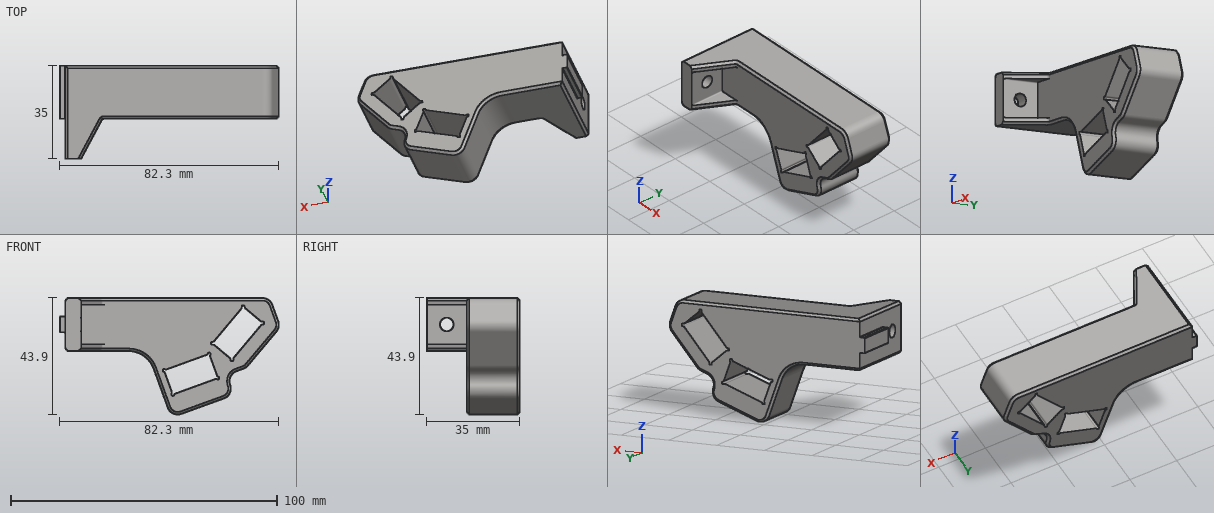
import cadquery as cq
import math

arm_width = 20.0
arm_height = 20.0
edge_chamfer = 1.0

plate_thickness = 6.0
plate_overhang = 15.0
gusset_length = 8.0
gusset_fillet = 1.0
rib_thickness = 2.5
pocket_fillet = 0.5
bolt_diameter = 5.0

tab_length = 2.0
tab_height = 6.0
tab_bevel = 0.2

window_length = 18.0
window_width = 9.6
relief_radius = 0.5
relief_blend = 1.0
lower_tilt = 20.0
upper_tilt = 50.0
lower_center = (47.26, -8.69)
upper_center = (64.77, 6.73)

lower_end_margin = 3.5
lower_side_margin = 8.0
upper_side_margin = 6.0

end_tilt = 110.0
end_distance = 79.08

corner_radius = 4.0
throat_radius = 10.0
shortest_line = 0.001


def direction(angle):
    """Unit (x, z) vector at an angle above +X."""
    return math.cos(math.radians(angle)), math.sin(math.radians(angle))


def shifted(point, angle, along, across):
    """Move a point along a direction and across it (to the left)."""
    dx, dz = direction(angle)
    return point[0] + along * dx - across * dz, point[1] + along * dz + across * dx


def crossing(line_a, line_b):
    """Meeting point of two lines, each given as (point, angle)."""
    (ax, az), angle_a = line_a
    (bx, bz), angle_b = line_b
    adx, adz = direction(angle_a)
    bdx, bdz = direction(angle_b)
    along = ((bx - ax) * bdz - (bz - az) * bdx) / (adx * bdz - adz * bdx)
    return ax + along * adx, az + along * adz


def front_plane(y):
    """XZ sketch plane at a given y, extruding toward +Y."""
    return cq.Workplane(cq.Plane(origin=(0, y, 0), xDir=(1, 0, 0), normal=(0, -1, 0)))


def arm_corners():
    """Sharp corners of the arm outline, each with its rounding radius."""
    half_length = window_length / 2
    half_width = window_width / 2
    block_reach = half_length + lower_end_margin

    top = ((0, arm_height), 0)
    underside = ((0, 0), 0)
    block_left = (shifted(lower_center, lower_tilt, -block_reach, 0), lower_tilt + 90)
    block_right = (shifted(lower_center, lower_tilt, block_reach, 0), lower_tilt + 90)
    block_bottom = (shifted(lower_center, lower_tilt, 0, -half_width - lower_side_margin), lower_tilt)
    ledge = (shifted(lower_center, lower_tilt, 0, -half_width), lower_tilt)
    upper_side = (shifted(upper_center, upper_tilt, 0, -half_width - upper_side_margin), upper_tilt)
    end_face = (shifted((0, 0), end_tilt, 0, -end_distance), end_tilt)

    return [
        ((0, 0), 0),
        (crossing(underside, block_left), throat_radius),
        (crossing(block_left, block_bottom), corner_radius),
        (crossing(block_bottom, block_right), corner_radius),
        (crossing(block_right, ledge), corner_radius),
        (crossing(ledge, upper_side), corner_radius),
        (crossing(upper_side, end_face), corner_radius),
        (crossing(end_face, top), corner_radius),
        ((0, arm_height), 0),
    ]


def toward(start, end, distance):
    """Point at a distance from start on the way to end."""
    share = distance / math.dist(start, end)
    return start[0] + share * (end[0] - start[0]), start[1] + share * (end[1] - start[1])


def corner_arc(before, corner, after, radius):
    """Start, middle and end of the arc that rounds a corner."""
    angle_in = math.atan2(corner[1] - before[1], corner[0] - before[0])
    angle_out = math.atan2(after[1] - corner[1], after[0] - corner[0])
    half_turn = abs(math.remainder(angle_out - angle_in, 2 * math.pi)) / 2
    setback = radius * math.tan(half_turn)
    start = toward(corner, before, setback)
    end = toward(corner, after, setback)
    chord_middle = ((start[0] + end[0]) / 2, (start[1] + end[1]) / 2)
    middle = toward(corner, chord_middle, radius / math.cos(half_turn) - radius)
    return start, middle, end


def make_arm():
    corners = arm_corners()
    points = [point for point, _ in corners]
    outline = front_plane(0).moveTo(*points[0])
    position = points[0]
    for index in range(1, len(corners) - 1):
        radius = corners[index][1]
        start, middle, end = corner_arc(points[index - 1], points[index], points[index + 1], radius)
        if math.dist(position, start) > shortest_line:
            outline = outline.lineTo(*start)
        outline = outline.threePointArc(middle, end)
        position = end
    return outline.lineTo(*points[-1]).close().extrude(-arm_width)


def make_plate():
    """Mounting plate with a sloped gusset back to the arm."""
    gusset_end = plate_thickness + gusset_length
    plan = [
        (0, arm_width / 2),
        (0, -plate_overhang),
        (plate_thickness, -plate_overhang),
        (gusset_end, 0),
        (gusset_end, arm_width / 2),
    ]
    return cq.Workplane("XY").polyline(plan).close().extrude(arm_height)


def make_body():
    body = make_arm().union(make_plate(), clean=True)
    gusset_root = (plate_thickness + gusset_length, 0, arm_height / 2)
    body = body.edges("|Z").edges(cq.selectors.NearestToPointSelector(gusset_root)).fillet(gusset_fillet)
    return body.edges("(not (|Y or |Z or <Y)) or (|Y and <X)").chamfer(edge_chamfer)


def gusset_pocket():
    """Pocket between the two gusset ribs, open toward -Y and +X."""
    pocket_length = 2 * gusset_length
    pocket_height = arm_height - 2 * rib_thickness
    pocket = cq.Workplane("XY").box(pocket_length, plate_overhang, pocket_height, centered=False)
    pocket = pocket.edges("|Y and <X").fillet(pocket_fillet)
    return pocket.translate((plate_thickness, -plate_overhang, rib_thickness))


def bolt_hole():
    return (
        cq.Workplane("YZ")
        .center(-plate_overhang / 2, arm_height / 2)
        .circle(bolt_diameter / 2)
        .extrude(plate_thickness)
    )


def make_tab():
    """Locating tab whose upper and lower sides flare at the plate and are chamfered at the tip."""
    half_height = tab_height / 2
    upper_side = [
        (0, half_height + tab_bevel),
        (-tab_bevel, half_height),
        (-tab_length + tab_bevel, half_height),
        (-tab_length, half_height - tab_bevel),
    ]
    lower_side = [(x, -z) for x, z in reversed(upper_side)]
    profile = front_plane(0).center(0, arm_height / 2).polyline(upper_side + lower_side)
    return profile.close().extrude(-arm_width)


def make_window(center, tilt):
    """Rectangular through window with a round relief at each corner, blended into the sides."""
    sketch = front_plane(0)
    opening = sketch.rect(window_length, window_width).extrude(-arm_width)
    reliefs = (
        sketch.rect(window_length, window_width, forConstruction=True)
        .vertices()
        .circle(relief_radius)
        .extrude(-arm_width)
    )
    reach_x = (window_length + relief_radius) / 2
    reach_z = (window_width + relief_radius) / 2
    on_rectangle = cq.selectors.BoxSelector((-reach_x, 0, -reach_z), (reach_x, arm_width, reach_z))
    window = opening.union(reliefs).edges("|Y").edges(on_rectangle).fillet(relief_blend)
    return window.rotate((0, 0, 0), (0, -1, 0), tilt).translate((center[0], 0, center[1]))


result = (
    make_body()
    .cut(gusset_pocket())
    .cut(bolt_hole())
    .union(make_tab())
    .cut(make_window(lower_center, lower_tilt))
    .cut(make_window(upper_center, upper_tilt))
)